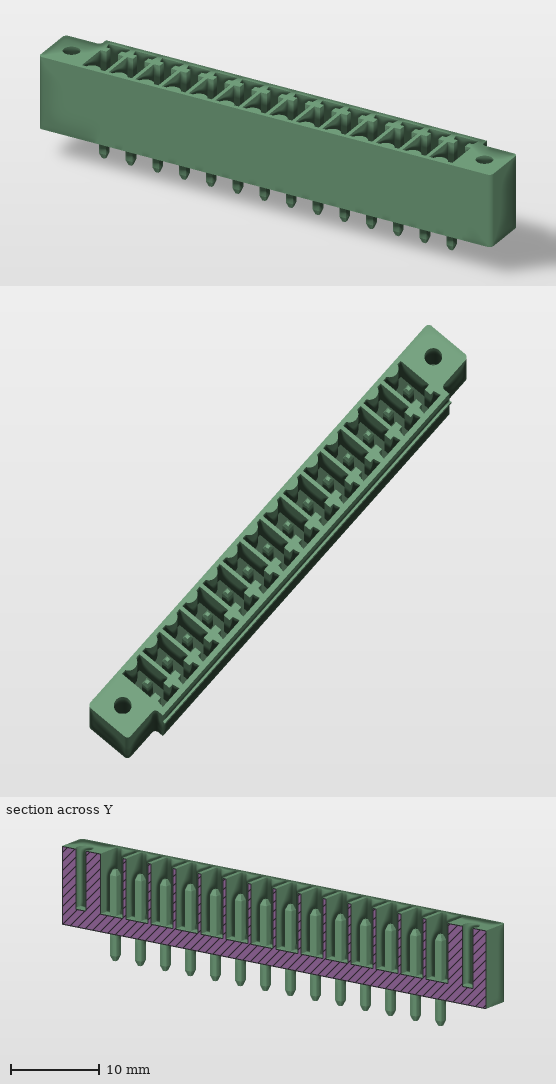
import cadquery as cq


pole_count = 14
pitch = 3.5

housing_length = 59.3
housing_height = 9.25
flange_depth = 6.05
middle_length = 49.9
middle_depth = 7.25
corner_radius = 0.5

rib_thickness = 0.3
rib_height = 0.7
rib_bottom = 5.7

pocket_depth = 7.1
pocket_width = 3.0
pocket_front = 0.55
pocket_shoulder = 4.8
neck_width = 1.5
neck_back = 5.7
head_front_width = 2.55
head_back_width = 2.9
pocket_back = 6.6

key_radius = 1.0
key_center_y = 0.2

pin_width = 0.9
pin_taper = 0.25
pin_taper_length = 0.65
pin_row_y = 3.0
pin_drop = 3.3
pin_top_gap = 1.8

screw_hole_diameter = 2.0
screw_hole_depth = 7.1
screw_hole_offset = 27.05

pole_xs = [(index - (pole_count - 1) / 2) * pitch for index in range(pole_count)]


def make_housing():
    """Stepped block with rounded flange corners and a rounded step beside each flange."""
    end_x = housing_length / 2
    step_x = middle_length / 2
    r = corner_radius
    return (
        cq.Workplane("XY")
        .lineTo(end_x - r, 0)
        .radiusArc((end_x, r), -r)
        .lineTo(end_x, flange_depth - r)
        .radiusArc((end_x - r, flange_depth), -r)
        .lineTo(step_x + r, flange_depth)
        .radiusArc((step_x, flange_depth + r), r)
        .lineTo(step_x, middle_depth)
        .lineTo(0, middle_depth)
        .mirrorY()
        .extrude(housing_height)
    )


def make_rib():
    """Thin strip along the back of the raised middle section."""
    return cq.Workplane("XY", origin=(0, middle_depth, rib_bottom)).box(
        middle_length, rib_thickness, rib_height, centered=(True, False, False)
    )


def make_pocket(x):
    """Pocket with a wide front chamber, a narrow neck and a flared head."""
    right_side = [
        (pocket_width / 2, pocket_front),
        (pocket_width / 2, pocket_shoulder),
        (neck_width / 2, pocket_shoulder),
        (neck_width / 2, neck_back),
        (head_front_width / 2, neck_back),
        (head_back_width / 2, pocket_back),
    ]
    left_side = [(-px, py) for px, py in reversed(right_side)]
    floor = cq.Workplane("XY", origin=(x, 0, housing_height - pocket_depth))
    pocket = floor.polyline(right_side + left_side).close().extrude(pocket_depth)
    key = floor.center(0, key_center_y).circle(key_radius).extrude(pocket_depth)
    return pocket.cut(key)


def make_pin_tip(x, base_z, tip_z):
    """Tapered end that narrows from the pin width at base_z to the tip width at tip_z."""
    tip_width = pin_width - 2 * pin_taper
    return (
        cq.Workplane("XY", origin=(x, pin_row_y, base_z))
        .rect(pin_width, pin_width)
        .workplane(offset=tip_z - base_z)
        .rect(tip_width, tip_width)
        .loft()
    )


def make_pin(x):
    """Square pin with a tapered tip at both ends."""
    bottom = -pin_drop
    top = housing_height - pin_top_gap
    shank_bottom = bottom + pin_taper_length
    shank_top = top - pin_taper_length
    shank = (
        cq.Workplane("XY", origin=(x, pin_row_y, shank_bottom))
        .rect(pin_width, pin_width)
        .extrude(shank_top - shank_bottom)
    )
    return shank.union(make_pin_tip(x, shank_top, top)).union(make_pin_tip(x, shank_bottom, bottom))


def make_screw_holes():
    """Blind round holes, one in each end flange, in line with the pins."""
    return (
        cq.Workplane("XY", origin=(0, pin_row_y, housing_height - screw_hole_depth))
        .pushPoints([(-screw_hole_offset, 0), (screw_hole_offset, 0)])
        .circle(screw_hole_diameter / 2)
        .extrude(screw_hole_depth)
    )


result = make_housing().union(make_rib()).cut(make_screw_holes())
for pole_x in pole_xs:
    result = result.cut(make_pocket(pole_x)).union(make_pin(pole_x))